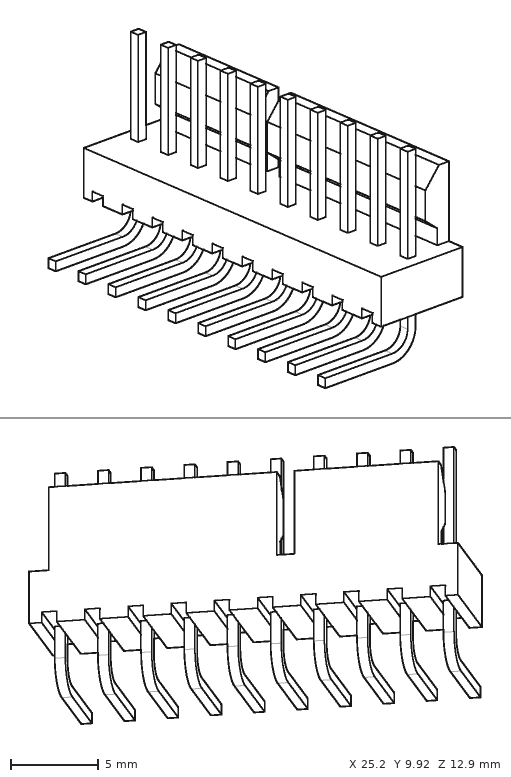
import cadquery as cq

base_length = 25.25
base_depth = 6.36
base_height = 3.13

pin_count = 10
pin_row_span = 22.88
pin_pitch = pin_row_span / (pin_count - 1)
pin_size = 0.63
pin_center_y = -base_depth / 2
pin_top_z = 9.85
pin_bottom_z = -3.08
pin_tip_y = -9.92
bend_inner_radius = 1.19
bend_outer_radius = bend_inner_radius + pin_size

notch_width = 0.88
notch_height = 0.63

wall_end_margin = 1.15
wall_gap_width = 1.04
wall_gap_center_x = -2.47
wall_top_z = 8.13
wall_foot_thickness = 0.9
wall_tip_thickness = 0.78
hook_thickness = 1.85
hook_underside_start_z = 4.2
hook_face_bottom_z = 4.92
hook_face_top_z = 6.85

pin_positions = [i * pin_pitch - pin_row_span / 2 for i in range(pin_count)]


def make_base():
    """Rectangular housing with a notch through its depth at each pin."""
    base = cq.Workplane("XY").box(base_length, base_depth, base_height, centered=(True, False, False))
    base = base.translate((0, -base_depth, 0))
    for x in pin_positions:
        notch = cq.Workplane("XY").box(notch_width, base_depth, notch_height, centered=(True, False, False))
        base = base.cut(notch.translate((x, -base_depth, 0)))
    return base


def make_wall_segment(x_start, x_end):
    """Hooked wall profile extruded along X between two ends."""
    profile = [
        (0, base_height),
        (0, wall_top_z),
        (-wall_tip_thickness, wall_top_z),
        (-hook_thickness, hook_face_top_z),
        (-hook_thickness, hook_face_bottom_z),
        (-wall_foot_thickness, hook_underside_start_z),
        (-wall_foot_thickness, base_height),
    ]
    segment = cq.Workplane("YZ").polyline(profile).close().extrude(x_end - x_start)
    return segment.translate((x_start, 0, 0))


def make_pin():
    """Square pin at X = 0: upright through the base, then bent forward."""
    rear_y = pin_center_y + pin_size / 2
    front_y = rear_y - pin_size
    tail_top_z = pin_bottom_z + pin_size
    bend_y = rear_y - bend_outer_radius
    bend_z = pin_bottom_z + bend_outer_radius
    return (
        cq.Workplane("YZ")
        .moveTo(rear_y, pin_top_z)
        .lineTo(rear_y, bend_z)
        .radiusArc((bend_y, pin_bottom_z), bend_outer_radius)
        .lineTo(pin_tip_y, pin_bottom_z)
        .lineTo(pin_tip_y, tail_top_z)
        .lineTo(bend_y, tail_top_z)
        .radiusArc((front_y, bend_z), -bend_inner_radius)
        .lineTo(front_y, pin_top_z)
        .close()
        .extrude(pin_size / 2, both=True)
    )


wall_end_x = base_length / 2 - wall_end_margin
gap_left_x = wall_gap_center_x - wall_gap_width / 2
gap_right_x = wall_gap_center_x + wall_gap_width / 2

result = make_base()
result = result.union(make_wall_segment(-wall_end_x, gap_left_x))
result = result.union(make_wall_segment(gap_right_x, wall_end_x))
pin = make_pin()
for x in pin_positions:
    result = result.union(pin.translate((x, 0, 0)))